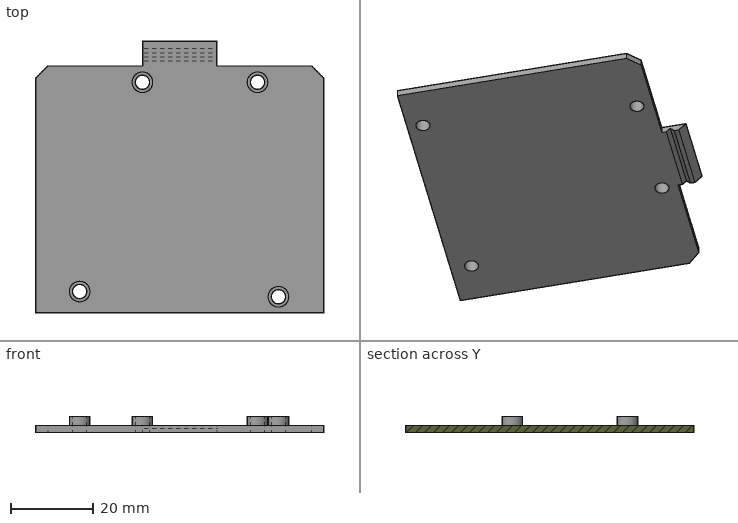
import cadquery as cq

plate_width = 70.0
plate_depth = 60.0
plate_thickness = 1.8
corner_chamfer = 3.0

overall_depth = 66.0
tab_width = 18.0
tab_notch_height = 1.0

overall_height = 4.0
standoff_diameter = 5.0
hole_diameter = 3.4
first_hole_x = 10.7
first_hole_y = 5.2
hole_offsets = [(0.0, 0.0), (48.26, -1.27), (15.24, 50.8), (43.18, 50.8)]
hole_centers = [(first_hole_x + dx, first_hole_y + dy) for dx, dy in hole_offsets]


def make_plate():
    """Rectangular plate with its two rear corners cut at 45 degrees."""
    plate = cq.Workplane("XY").box(plate_width, plate_depth, plate_thickness, centered=False)
    return plate.faces(">Y").edges("|Z").chamfer(corner_chamfer)


def make_tab():
    """Tab with a 45-degree undercut tip and a 45-degree V notch centered on its underside."""
    tip_bottom = overall_depth - plate_thickness
    notch_center = (plate_depth + tip_bottom) / 2
    profile = [
        (plate_depth, plate_thickness),
        (overall_depth, plate_thickness),
        (tip_bottom, 0),
        (notch_center + tab_notch_height, 0),
        (notch_center, tab_notch_height),
        (notch_center - tab_notch_height, 0),
        (plate_depth, 0),
    ]
    tab = cq.Workplane("YZ").polyline(profile).close().extrude(tab_width)
    return tab.translate(((plate_width - tab_width) / 2, 0, 0))


def make_cylinders(diameter):
    """Upright cylinders at the hole centers, from the underside to the overall height."""
    return cq.Workplane("XY").pushPoints(hole_centers).circle(diameter / 2).extrude(overall_height)


result = (
    make_plate()
    .union(make_tab())
    .union(make_cylinders(standoff_diameter))
    .cut(make_cylinders(hole_diameter))
)